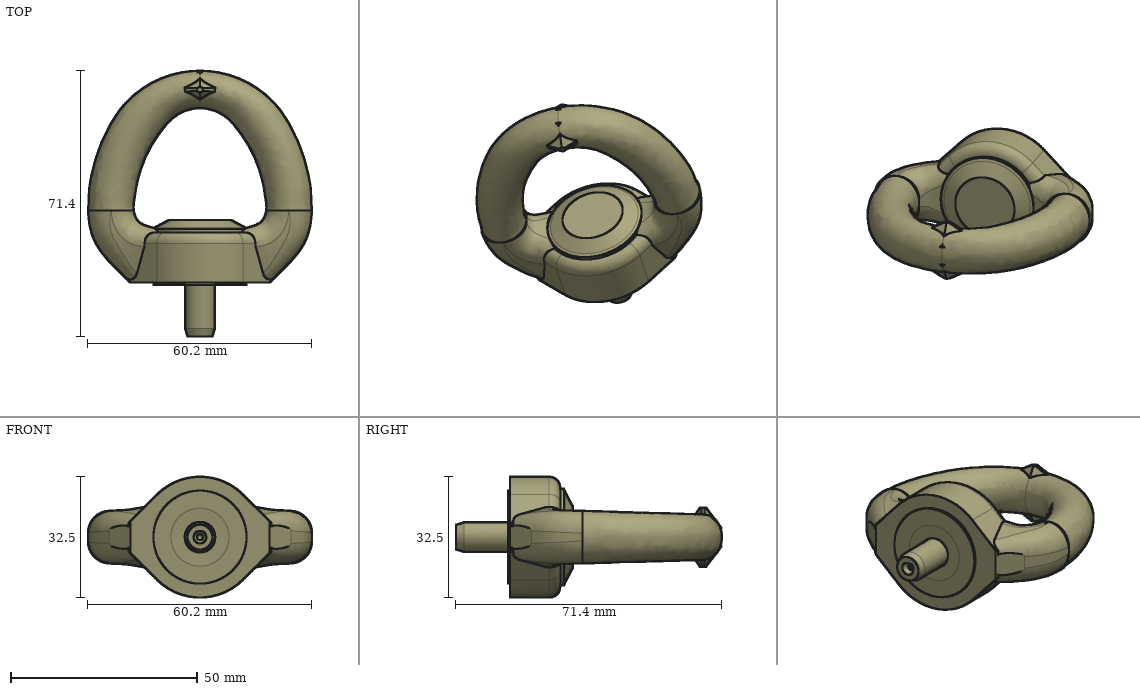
import cadquery as cq
import math


bolt_dia = 8.0
bolt_reach = 13.9
bolt_chamfer_length = 2.2
bolt_tip_dia = 6.7
centre_pilot_dia = 1.6
centre_mouth_dia = 3.4
centre_cone_angle = 60.0
drill_point_angle = 118.0
pilot_depth = 1.0

bush_dia = 25.0
flange_dia = 26.0
flange_thickness = 0.95
dish_dia = 15.6
dish_depth = 0.2
bore_dia = 8.2
cap_rim_dia = 24.2
cap_rim_height = 0.4
cap_top_dia = 16.6
cap_height = 2.0

hub_face = 0.6
hub_top = 14.1
hub_radius = 16.25
hub_flank_angle = 45.0
hub_half_width = 19.2
hub_fillet = 3.0

widest_y = 20.0
outer_half_width = 30.1
outer_side_radius = 47.0
outer_crown_y = 57.5
inner_half_width = 17.65
inner_side_radius = 35.0
inner_crown_y = 47.4
loop_half_depth = 7.1
crown_half_depth = 6.0
loop_step = 6
section_points = 16

arm_outer_radius = 19.3
arm_inner_radius = 4.5
arm_line_angle = 45
arm_step = 15
arm_corner_radius = 6.1
arm_root_outer_half_depth = 5.3
arm_root_inner_half_depth = 9.5
arm_root_corner_radius = 4.5
arm_end_outer_x = 13.0
arm_end_inner = (11.0, 15.0)

peak_y = 52.4
peak_height = 7.95
peak_base_height = 2.5
peak_tip_radius = 0.8
peak_base_half_width = 10.5
peak_base_up = 4.9
peak_base_down = 4.5
peak_base_corner = 0.65


def revolve_about_bolt_axis(profile):
    """Turn (radius, y) points about the Y axis."""
    return cq.Workplane("XY").polyline(profile).close().revolve(360, (0, 0, 0), (0, 1, 0))


def polar(centre, radius, degrees):
    angle = math.radians(degrees)
    return (centre[0] + radius * math.cos(angle), centre[1] + radius * math.sin(angle))


def oval_point(half_width, side_radius, crown_y, normal):
    """Point of a loop outline whose outward normal has the given angle (0 is +X, 90 the crown)."""
    side_centre = (half_width - side_radius, widest_y)
    overhang = -side_centre[0]
    height = crown_y - widest_y
    top_radius = (side_radius ** 2 - overhang ** 2 - height ** 2) / (2 * (side_radius - height))
    rise = height - top_radius
    tangent_angle = math.degrees(math.atan2(rise, overhang))
    if normal < tangent_angle:
        return polar(side_centre, side_radius, normal)
    return polar((0, widest_y + rise), top_radius, normal)


def section_plane(outer, inner):
    """Plane across the ring from the inner to the outer outline, with its local Y along Z."""
    chord = cq.Vector(outer[0] - inner[0], outer[1] - inner[1], 0)
    origin = ((outer[0] + inner[0]) / 2, (outer[1] + inner[1]) / 2, 0)
    plane = cq.Plane(origin=origin, xDir=chord, normal=chord.cross(cq.Vector(0, 0, 1)))
    return plane, chord.Length


def loop_section(outer, inner, half_depth):
    """Elliptical section, as a closed spline that always starts at the outer outline."""
    plane, width = section_plane(outer, inner)
    angles = [2 * math.pi * step / section_points for step in range(section_points)]
    points = [(width / 2 * math.cos(angle), half_depth * math.sin(angle)) for angle in angles]
    return cq.Workplane(plane).spline(points, periodic=True).wire().val()


def arm_section(outer, inner, outer_half_depth, inner_half_depth, corner_radius):
    """Trapezium with rounded corners."""
    plane, width = section_plane(outer, inner)
    corners = [
        (width / 2, -outer_half_depth), (width / 2, outer_half_depth),
        (-width / 2, inner_half_depth), (-width / 2, -inner_half_depth),
    ]
    outline = cq.Workplane(plane).polyline(corners).close().wires().val()
    return outline.fillet2D(corner_radius, outline.Vertices())


def make_hub():
    flank = math.radians(hub_flank_angle)
    tangent_x = hub_radius * math.sin(flank)
    tangent_z = hub_radius * math.cos(flank)
    corner_z = tangent_z - (hub_half_width - tangent_x) * math.tan(flank)
    return (
        cq.Workplane("XZ", origin=(0, hub_face, 0))
        .moveTo(-tangent_x, tangent_z)
        .threePointArc((0, hub_radius), (tangent_x, tangent_z))
        .lineTo(hub_half_width, corner_z)
        .lineTo(hub_half_width, -corner_z)
        .lineTo(tangent_x, -tangent_z)
        .threePointArc((0, -hub_radius), (-tangent_x, -tangent_z))
        .lineTo(-hub_half_width, -corner_z)
        .lineTo(-hub_half_width, corner_z)
        .close()
        .extrude(hub_face - hub_top)
        .faces(">Y").edges().fillet(hub_fillet)
    )


def make_loop():
    right_side = []
    for normal in range(0, 91, loop_step):
        outer = oval_point(outer_half_width, outer_side_radius, outer_crown_y, normal)
        inner = oval_point(inner_half_width, inner_side_radius, inner_crown_y, normal)
        climb = ((outer[1] + inner[1]) / 2 - widest_y) / (outer_crown_y - widest_y)
        half_depth = loop_half_depth + climb * (crown_half_depth - loop_half_depth)
        right_side.append((outer, inner, half_depth))
    half = cq.Workplane(cq.Solid.makeLoft([loop_section(*station) for station in right_side]))
    return half.union(half.mirror("YZ"))


arm_outer_centre = (outer_half_width - arm_outer_radius, widest_y)
arm_inner_centre = (inner_half_width - arm_inner_radius, widest_y)
arm_line_start = polar(arm_outer_centre, arm_outer_radius, -arm_line_angle)
arm_foot_x = arm_line_start[0] - (arm_line_start[1] - hub_face) / math.tan(math.radians(arm_line_angle))


def make_arm():
    """Arm on the +X side, from the widest point of the loop into the hub."""
    stations = []
    for turn in range(0, arm_line_angle + 1, arm_step):
        outer = polar(arm_outer_centre, arm_outer_radius, -turn)
        inner = polar(arm_inner_centre, arm_inner_radius, -turn)
        growth = turn / 90
        outer_half_depth = loop_half_depth + growth * (arm_root_outer_half_depth - loop_half_depth)
        inner_half_depth = loop_half_depth + growth * (arm_root_inner_half_depth - loop_half_depth)
        corner_radius = arm_corner_radius + growth * (arm_root_corner_radius - arm_corner_radius)
        stations.append((outer, inner, outer_half_depth, inner_half_depth, corner_radius))
    root_shape = (arm_root_outer_half_depth, arm_root_inner_half_depth, arm_root_corner_radius)
    root_inner = polar(arm_inner_centre, arm_inner_radius, -90)
    stations.append(((arm_foot_x, hub_face), root_inner, *root_shape))
    stations.append(((arm_end_outer_x, hub_face), arm_end_inner, *root_shape))
    return cq.Workplane(cq.Solid.makeLoft([arm_section(*station) for station in stations]))


def make_peak():
    """Pointed mark on the +Z side of the crown."""
    def outline(half_width, up, down, corner):
        return [
            (0, up), (half_width, corner), (half_width, -corner),
            (0, -down), (-half_width, -corner), (-half_width, corner),
        ]

    tip_outline = outline(peak_tip_radius, peak_tip_radius, peak_tip_radius, peak_tip_radius / 2)
    return (
        cq.Workplane("XY", origin=(0, peak_y, peak_base_height))
        .polyline(outline(peak_base_half_width, peak_base_up, peak_base_down, peak_base_corner)).close()
        .workplane(offset=peak_height - peak_base_height)
        .polyline(tip_outline).close()
        .loft(ruled=True)
    )


def make_foot_envelope():
    """Block bounded by the hub face and by the straight outer lines of both arms."""
    rise = 2 * outer_half_width
    spread = rise / math.tan(math.radians(arm_line_angle))
    depth = 4 * hub_radius
    return (
        cq.Workplane("XY", origin=(0, 0, -depth / 2))
        .polyline([
            (-arm_foot_x, hub_face), (arm_foot_x, hub_face),
            (arm_foot_x + spread, hub_face + rise), (-arm_foot_x - spread, hub_face + rise),
        ])
        .close().extrude(depth)
    )


def make_bush_space():
    return revolve_about_bolt_axis([
        (0, 0), (bush_dia / 2, 0), (bush_dia / 2, hub_top),
        (flange_dia / 2, hub_top), (flange_dia / 2, widest_y), (0, widest_y),
    ])


def make_ring():
    arm = make_arm()
    peak = make_peak()
    body = make_hub().union(arm).union(arm.mirror("YZ")).intersect(make_foot_envelope())
    body = body.cut(make_bush_space())
    return body.union(make_loop()).union(peak).union(peak.mirror("XY"))


bore_floor = hub_top


def make_bush():
    flange_top = hub_top + flange_thickness
    rim_y = flange_top + cap_rim_height
    return revolve_about_bolt_axis([
        (0, bore_floor), (bore_dia / 2, bore_floor), (bore_dia / 2, dish_depth),
        (dish_dia / 2, 0), (bush_dia / 2, 0),
        (bush_dia / 2, hub_top), (flange_dia / 2, hub_top),
        (flange_dia / 2, flange_top), (cap_rim_dia / 2, rim_y),
        (cap_top_dia / 2, rim_y + cap_height), (0, rim_y + cap_height),
    ])


def make_bolt():
    """Plain bolt with a chamfered tip and a centre hole in its end."""
    tip_y = -bolt_reach
    pilot_radius = centre_pilot_dia / 2
    mouth_radius = centre_mouth_dia / 2
    mouth_depth = (mouth_radius - pilot_radius) / math.tan(math.radians(centre_cone_angle / 2))
    pilot_end = tip_y + mouth_depth + pilot_depth
    point_length = pilot_radius / math.tan(math.radians(drill_point_angle / 2))
    return revolve_about_bolt_axis([
        (0, bore_floor), (bolt_dia / 2, bore_floor), (bolt_dia / 2, tip_y + bolt_chamfer_length),
        (bolt_tip_dia / 2, tip_y), (mouth_radius, tip_y),
        (pilot_radius, tip_y + mouth_depth), (pilot_radius, pilot_end), (0, pilot_end + point_length),
    ])


ring = make_ring()
bush = make_bush()
bolt = make_bolt()
result = cq.Compound.makeCompound([ring.solids().val(), bush.val(), bolt.val()])